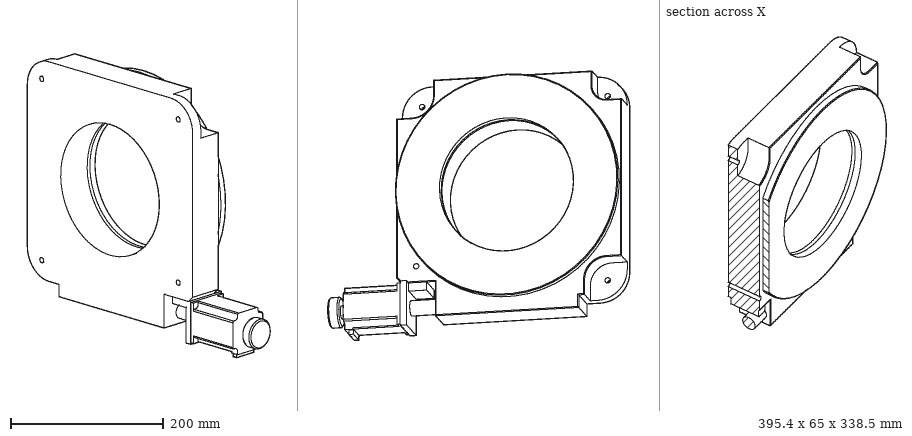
import cadquery as cq
import math


half_side = 151.5
housing_depth = 50.0
bore_radius = 90.0
corner_radius = 40.0
rear_chamfer = 1.0
flange_thickness = 15.5
foot_left = -93.7
foot_right = 99.3
foot_bottom = -168.5
notch_top = -122.0
notch_chamfer = 7.5
pocket_wide = 50.0
pocket_wide_fillet = 29.5
pocket_small = 40.0
pocket_small_fillet = 20.0
screw_radius = 3.5
screw_offset = 125.0
low_screw_z = -100.0

table_radius = 150.0
table_thickness = 10.0
table_gap = 5.0
table_chamfer = 1.0

bracket_right = half_side - notch_chamfer
bracket_thickness = 8.7
bracket_width = 57.7
bracket_bottom = -182.0
lip_left = 111.0
lip_thickness = 11.0
coupling_radius = 10.3

axis_y = 33.0
axis_z = -152.3
motor_side = 56.0
flange_length = 4.5
motor_length = 76.7
groove_size = 8.7
groove_fillet = 4.7
bevel_along = 2.5
bevel_depth = 1.0
connector_left = 209.5
connector_length = 6.5
connector_width = 32.5
connector_bottom = -187.0
pad_thickness = 0.8

shaft_radius = 4.7
shaft_length = 4.7
collar_radius = 8.7
collar_length = 3.5
knob_radius = 20.0
knob_length = 15.0
knob_chamfer = 2.0


def block(x_range, y_range, z_range):
    """Box given by its (low, high) limits along each axis."""
    limits = (x_range, y_range, z_range)
    size = [high - low for low, high in limits]
    return cq.Workplane().box(*size, centered=False).translate([low for low, high in limits])


def cylinder_y(radius, y_start, y_end, x=0, z=0):
    """Cylinder parallel to Y."""
    axis = cq.Vector(0, 1, 0)
    return cq.Workplane(cq.Solid.makeCylinder(radius, y_end - y_start, cq.Vector(x, y_start, z), axis))


def cylinder_x(radius, x_start, length):
    """Cylinder on the motor axis."""
    base = cq.Vector(x_start, axis_y, axis_z)
    return cq.Workplane(cq.Solid.makeCylinder(radius, length, base, cq.Vector(1, 0, 0)))


def extrude_back(outline, depth):
    """Extrude an XZ outline from Y = 0 toward +Y."""
    return outline.close().extrude(-depth)


def make_flange_plate():
    """Thin front plate with rounded corners, a chamfered notch and the foot."""
    arc_inset = corner_radius * (1 - math.sqrt(0.5))
    arc_mid = half_side - arc_inset
    straight = half_side - corner_radius
    outline = (
        cq.Workplane("XZ")
        .moveTo(-straight, half_side)
        .lineTo(straight, half_side)
        .threePointArc((arc_mid, arc_mid), (half_side, straight))
        .lineTo(half_side, notch_top + notch_chamfer)
        .lineTo(bracket_right, notch_top)
        .lineTo(foot_right, notch_top)
        .lineTo(foot_right, foot_bottom)
        .lineTo(foot_left, foot_bottom)
        .lineTo(foot_left, -half_side)
        .lineTo(-straight, -half_side)
        .threePointArc((-arc_mid, -arc_mid), (-half_side, -straight))
        .lineTo(-half_side, straight)
        .threePointArc((-arc_mid, arc_mid), (-straight, half_side))
    )
    return extrude_back(outline, flange_thickness)


def pocketed_corner(outline, x_sign, z_sign, size, fillet, ends_on_x_side):
    """Continue an outline through a corner pocket whose inner corner is filleted.

    Walks from the Z side to the X side, or the other way if ends_on_x_side is False.
    """
    inner = half_side - size
    arc_inset = fillet * (1 - math.sqrt(0.5))
    path = [
        (inner, half_side),
        (inner, inner + fillet),
        (inner + arc_inset, inner + arc_inset),
        (inner + fillet, inner),
        (half_side, inner),
    ]
    if not ends_on_x_side:
        path = [(z, x) for x, z in path]
    start, arc_start, arc_mid, arc_end, end = [(x_sign * x, z_sign * z) for x, z in path]
    return outline.lineTo(*start).lineTo(*arc_start).threePointArc(arc_mid, arc_end).lineTo(*end)


def make_rear_block():
    """Deep block behind the flange plate, with stepped corners for screw access."""
    outline = (
        cq.Workplane("XZ")
        .moveTo(half_side, notch_top + notch_chamfer)
        .lineTo(bracket_right, notch_top)
        .lineTo(foot_right, notch_top)
        .lineTo(foot_right, foot_bottom)
        .lineTo(foot_left, foot_bottom)
        .lineTo(foot_left, -half_side)
    )
    outline = pocketed_corner(outline, -1, -1, pocket_wide, pocket_wide_fillet, True)
    outline = pocketed_corner(outline, -1, 1, pocket_small, pocket_small_fillet, False)
    outline = pocketed_corner(outline, 1, 1, pocket_wide, pocket_wide_fillet, True)
    rear_block = extrude_back(outline, housing_depth)
    return rear_block.faces(">Y").edges().chamfer(rear_chamfer)


def make_bracket():
    """L-shaped motor bracket under the notch, with the coupling that joins it to the foot."""
    plate_left = bracket_right - bracket_thickness
    front = axis_y - bracket_width / 2
    plate = block(
        (plate_left, bracket_right),
        (front, front + bracket_width),
        (bracket_bottom, notch_top),
    )
    lip = block(
        (lip_left, bracket_right),
        (front, housing_depth - rear_chamfer),
        (notch_top - lip_thickness, notch_top),
    )
    coupling = cylinder_x(coupling_radius, foot_right, plate_left - foot_right)
    return plate.union(lip).union(coupling)


def make_housing():
    housing = make_flange_plate().union(make_rear_block()).union(make_bracket())
    housing = housing.cut(cylinder_y(bore_radius, 0, housing_depth))
    screw_places = [
        (-screw_offset, screw_offset),
        (screw_offset, screw_offset),
        (-screw_offset, -screw_offset),
        (screw_offset, low_screw_z),
    ]
    for x, z in screw_places:
        housing = housing.cut(cylinder_y(screw_radius, 0, housing_depth, x, z))
    return housing


def make_table():
    """Flat ring behind the housing, separated from it by a narrow gap."""
    front = housing_depth + table_gap
    rear = front + table_thickness
    disc = cylinder_y(table_radius, front, rear).faces(">Y").edges().chamfer(table_chamfer)
    return disc.cut(cylinder_y(bore_radius, front, rear))


def make_corner_groove(x_start, length):
    """Cutter for the groove along the +Y +Z corner of the motor body."""
    corner = motor_side / 2
    inner = corner - groove_size
    arc_end = inner + groove_fillet
    arc_mid = inner + groove_fillet * (1 - math.sqrt(0.5))
    return (
        cq.Workplane("YZ", origin=(x_start, axis_y, axis_z))
        .moveTo(corner, corner)
        .lineTo(inner - bevel_along, corner)
        .lineTo(inner, corner - bevel_depth)
        .lineTo(inner, arc_end)
        .threePointArc((arc_mid, arc_mid), (arc_end, inner))
        .lineTo(corner - bevel_depth, inner)
        .lineTo(corner, inner - bevel_along)
        .close()
        .extrude(length)
    )


def make_motor():
    """Square motor with grooved corners, a cable connector on a pad and a hand knob."""
    half = motor_side / 2
    motor_end = bracket_right + motor_length
    motor = block(
        (bracket_right, motor_end),
        (axis_y - half, axis_y + half),
        (axis_z - half, axis_z + half),
    )
    groove = make_corner_groove(bracket_right + flange_length, motor_length - flange_length)
    axis_start = (0, axis_y, axis_z)
    axis_finish = (1, axis_y, axis_z)
    for quarter in range(4):
        motor = motor.cut(groove.rotate(axis_start, axis_finish, 90 * quarter))

    pad_half_width = half - groove_size
    pad = block(
        (connector_left, motor_end),
        (axis_y - pad_half_width, axis_y + pad_half_width),
        (axis_z - half - pad_thickness, axis_z - half + bevel_depth),
    )
    connector = block(
        (connector_left, connector_left + connector_length),
        (axis_y - connector_width / 2, axis_y + connector_width / 2),
        (connector_bottom, axis_z - half),
    )
    collar_start = motor_end + shaft_length
    knob_start = collar_start + collar_length
    shaft = cylinder_x(shaft_radius, motor_end, shaft_length)
    collar = cylinder_x(collar_radius, collar_start, collar_length)
    knob = cylinder_x(knob_radius, knob_start, knob_length).edges().chamfer(knob_chamfer)
    return motor.union(pad).union(connector).union(shaft).union(collar).union(knob)


housing = make_housing()
table = make_table()
motor = make_motor()

bodies = [housing, table, motor]
result = cq.Compound.makeCompound([body.solids().val() for body in bodies])